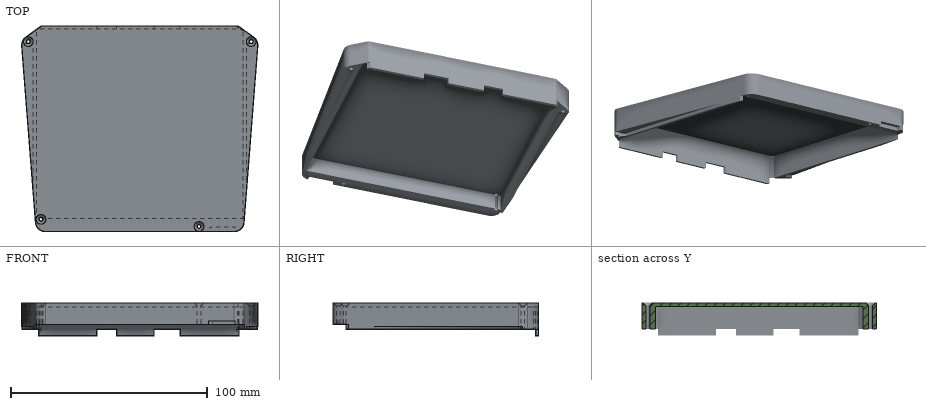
import cadquery as cq
import math

LENGTH_Y = 104.5
BACK_Y = LENGTH_Y / 2
FRONT_Y = -LENGTH_Y / 2
BACK_HALF_WIDTH = 50.0
SHOULDER_HALF_WIDTH = 60.22
SHOULDER_Y = 44.85
FRONT_HALF_WIDTH = 52.65
CORNER_RADIUS = 5.15

TOTAL_HEIGHT = 16.75
TOP_Z = TOTAL_HEIGHT / 2
PLATE_THICKNESS = 2.0
BODY_HEIGHT = 13.5
FRONT_WALL_HEIGHT = 11.0
BODY_BOTTOM_Z = TOP_Z - BODY_HEIGHT
FRONT_WALL_BOTTOM_Z = TOP_Z - FRONT_WALL_HEIGHT
TAB_BOTTOM_Z = TOP_Z - TOTAL_HEIGHT

BACK_WALL = 0.6
CAVITY_HALF_WIDTH = 52.5
CAVITY_FRONT_Y = -45.6

RELIEF_OUTER_Y = -44.2
RELIEF_OUTER_HALF_WIDTH = 53.35

SIDE_RELIEF_HEIGHT = 1.5
SIDE_RELIEF_FLOOR_X = 54.3
SIDE_RELIEF_BACK_Y = 43.4
SIDE_RELIEF_INNER_RADIUS = 1.5
SIDE_RELIEF_OUTER_RADIUS = 2.0
SIDE_RELIEF_ROUND_X = 58.25

FRONT_POCKET_LEFT_X = 35.0
FRONT_POCKET_RIGHT_X = 48.4
FRONT_POCKET_TOP = 9.1
FRONT_POCKET_RADIUS = 2.0
FRONT_POCKET_DEPTH = 2.5

TAB_THICKNESS = 1.5
TAB_LEFT_X = -51.4
TAB_RIGHT_X = 50.5
TAB_END_RUN = 1.35
TAB_NOTCHES = [(-21.8, -11.7), (7.3, 20.5)]

HOLE_CENTERS = [(-56.6, 44.3), (56.6, 44.3), (-50.15, -46.0), (30.1, -49.6)]
HOLE_DIAMETER = 1.8
COUNTERSINK_DIAMETER = 4.9
COUNTERSINK_ANGLE = 90.0


def box(x_range, y_range, z_range):
    size = [high - low for low, high in (x_range, y_range, z_range)]
    corner = (x_range[0], y_range[0], z_range[0])
    return cq.Workplane("XY").box(*size, centered=False).translate(corner)


def extrude_outline(points, bottom_z, height):
    return cq.Workplane("XY", origin=(0, 0, bottom_z)).polyline(points).close().extrude(height)


def make_body():
    outline = [
        (-BACK_HALF_WIDTH, BACK_Y),
        (BACK_HALF_WIDTH, BACK_Y),
        (SHOULDER_HALF_WIDTH, SHOULDER_Y),
        (FRONT_HALF_WIDTH, FRONT_Y),
        (-FRONT_HALF_WIDTH, FRONT_Y),
        (-SHOULDER_HALF_WIDTH, SHOULDER_Y),
    ]
    body = extrude_outline(outline, BODY_BOTTOM_Z, BODY_HEIGHT)
    back_edges = cq.selectors.DirectionMinMaxSelector(cq.Vector(0, 1, 0), directionMax=True)
    return body.edges("|Z").edges(cq.selectors.InverseSelector(back_edges)).fillet(CORNER_RADIUS)


def make_cavity():
    """The cavity's rear corners are cut parallel to the outer ones, one wall thickness inside."""
    slope = (BACK_Y - SHOULDER_Y) / (SHOULDER_HALF_WIDTH - BACK_HALF_WIDTH)
    angle = math.atan(slope)
    back_y = BACK_Y - BACK_WALL
    back_half = BACK_HALF_WIDTH - BACK_WALL * math.tan(angle / 2)
    side_y = back_y - (CAVITY_HALF_WIDTH - back_half) * slope
    outline = [
        (-back_half, back_y),
        (back_half, back_y),
        (CAVITY_HALF_WIDTH, side_y),
        (CAVITY_HALF_WIDTH, CAVITY_FRONT_Y),
        (-CAVITY_HALF_WIDTH, CAVITY_FRONT_Y),
        (-CAVITY_HALF_WIDTH, side_y),
    ]
    return extrude_outline(outline, BODY_BOTTOM_Z, BODY_HEIGHT - PLATE_THICKNESS)


def make_front_relief():
    """Removes everything below the front wall, up to the pointed ends of the side walls."""
    outer_x = RELIEF_OUTER_HALF_WIDTH
    outline = [
        (CAVITY_HALF_WIDTH, CAVITY_FRONT_Y),
        (outer_x, RELIEF_OUTER_Y),
        (outer_x, FRONT_Y),
        (-outer_x, FRONT_Y),
        (-outer_x, RELIEF_OUTER_Y),
        (-CAVITY_HALF_WIDTH, CAVITY_FRONT_Y),
    ]
    return extrude_outline(outline, BODY_BOTTOM_Z, BODY_HEIGHT - FRONT_WALL_HEIGHT)


def make_side_relief():
    """Relief on the -X side: rounded inner rear corner, rear end rounding off outwards."""
    inner_radius = SIDE_RELIEF_INNER_RADIUS
    outer_radius = SIDE_RELIEF_OUTER_RADIUS
    inner_diagonal = inner_radius * math.sqrt(0.5)
    outer_diagonal = outer_radius * math.sqrt(0.5)
    floor_x = -SIDE_RELIEF_FLOOR_X
    back_y = SIDE_RELIEF_BACK_Y
    round_x = -SIDE_RELIEF_ROUND_X
    inner_center = (floor_x - inner_radius, back_y - inner_radius)
    outer_center = (round_x, back_y + outer_radius)
    outer_end = (round_x - outer_radius, outer_center[1])
    relief = (
        cq.Workplane("XY", origin=(0, 0, BODY_BOTTOM_Z))
        .moveTo(floor_x, FRONT_Y)
        .lineTo(floor_x, inner_center[1])
        .threePointArc(
            (inner_center[0] + inner_diagonal, inner_center[1] + inner_diagonal),
            (inner_center[0], back_y),
        )
        .lineTo(round_x, back_y)
        .threePointArc((outer_center[0] - outer_diagonal, outer_center[1] - outer_diagonal), outer_end)
        .lineTo(outer_end[0], FRONT_Y)
        .close()
    )
    return relief.extrude(SIDE_RELIEF_HEIGHT)


def make_front_pocket():
    pocket = box(
        (FRONT_POCKET_LEFT_X, FRONT_POCKET_RIGHT_X),
        (FRONT_Y, FRONT_Y + FRONT_POCKET_DEPTH),
        (FRONT_WALL_BOTTOM_Z, TOP_Z - FRONT_POCKET_TOP),
    )
    return pocket.edges("|Z and >Y and <X").fillet(FRONT_POCKET_RADIUS)


def make_tab():
    """Tab from the plate down past the back wall: its ends slope inwards to its outer face,
    and its lower edge is notched up to the bottom of the walls."""
    inner_y = BACK_Y - TAB_THICKNESS
    outline = [
        (TAB_LEFT_X, inner_y),
        (TAB_RIGHT_X, inner_y),
        (TAB_RIGHT_X - TAB_END_RUN, BACK_Y),
        (TAB_LEFT_X + TAB_END_RUN, BACK_Y),
    ]
    tab = extrude_outline(outline, TAB_BOTTOM_Z, TOTAL_HEIGHT - PLATE_THICKNESS)
    for notch in TAB_NOTCHES:
        tab = tab.cut(box(notch, (inner_y, BACK_Y), (TAB_BOTTOM_Z, BODY_BOTTOM_Z)))
    return tab


def drill_holes(lid):
    top = cq.Workplane("XY", origin=(0, 0, TOP_Z)).add(lid.val())
    return top.pushPoints(HOLE_CENTERS).cskHole(HOLE_DIAMETER, COUNTERSINK_DIAMETER, COUNTERSINK_ANGLE)


lid = make_body().cut(make_cavity()).cut(make_front_relief())
side_relief = make_side_relief()
lid = lid.cut(side_relief).cut(side_relief.mirror("YZ"))
lid = lid.cut(make_front_pocket()).union(make_tab())
result = drill_holes(lid)